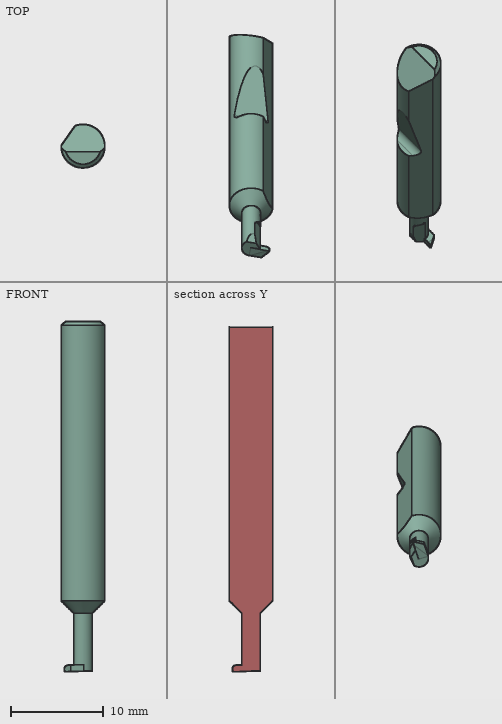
import cadquery as cq
import math

total_length = 38.1
shank_diameter = 4.75
shank_radius = shank_diameter / 2
neck_radius = 1.03
neck_bottom = 0.08
shank_bottom = 7.75
top_chamfer = 0.4
cutter_size = shank_diameter

shank_flat_angle = 145.0
shank_flat_distance = 1.98

slope_top_y = -0.6
slope_angle = 45.0

notch_top = 29.75
notch_bottom = 21.1
notch_depth = 1.4
notch_corner_radius = 0.75

neck_flat_angle = 140.0
neck_flat_distance = 0.8
neck_flat_top = 4.2
neck_flat_runout_radius = 1.05

relief_depth = 0.25
relief_height = 1.35

tooth_height = 0.75
tooth_rake_y = 0.08
tooth_root_x = 0.08
tooth_tip_x = -2.05
tooth_heel_x = -1.35
tooth_tip_top_radius = 0.5
tooth_tip_bottom_radius = 0.23
tooth_lowest_x = -1.68
tooth_bottom_rise = 0.08


def make_body():
    """Revolved shank, 45 degree shoulder and neck."""
    neck_top = shank_bottom - (shank_radius - neck_radius)
    return (
        cq.Workplane("XZ")
        .moveTo(0, neck_bottom)
        .lineTo(neck_radius, neck_bottom)
        .lineTo(neck_radius, neck_top)
        .lineTo(shank_radius, shank_bottom)
        .lineTo(shank_radius, total_length - top_chamfer)
        .lineTo(shank_radius - top_chamfer, total_length)
        .lineTo(0, total_length)
        .close()
        .revolve(360, (0, 0, 0), (0, 1, 0))
    )


def make_flat_cutter(angle, distance, bottom, top):
    """Block whose inner face is a flat facing the given angle about Z."""
    return (
        cq.Workplane("XY")
        .box(cutter_size, 2 * cutter_size, top - bottom, centered=(False, True, False))
        .translate((distance, 0, bottom))
        .rotate((0, 0, 0), (0, 0, 1), angle)
    )


def extrude_across(points):
    """Prism along X through the whole part from (Y, Z) points."""
    return cq.Workplane("YZ").polyline(points).close().extrude(cutter_size, both=True)


def make_top_slope_cutter():
    slope_drop = (cutter_size - slope_top_y) * math.tan(math.radians(slope_angle))
    return extrude_across([
        (slope_top_y, total_length),
        (cutter_size, total_length),
        (cutter_size, total_length - slope_drop),
    ])


def make_notch_cutter():
    """Wedge with a rounded inner corner at its lower, deepest end."""
    notch_floor_y = shank_radius - notch_depth
    return extrude_across([
        (shank_radius, notch_top),
        (notch_floor_y, notch_bottom),
        (cutter_size, notch_bottom),
        (cutter_size, notch_top),
    ]).edges("<Y").fillet(notch_corner_radius)


def make_neck_flat_cutter():
    """Flat from the neck end; its top corner on the +Y side is rounded within the flat."""
    flat_half_width = math.sqrt(neck_radius**2 - neck_flat_distance**2)
    return (
        cq.Workplane("XY")
        .box(cutter_size, 2 * flat_half_width, neck_flat_top, centered=(False, True, False))
        .edges("|X and >Z and <Y")
        .fillet(neck_flat_runout_radius)
        .translate((neck_flat_distance, 0, 0))
        .rotate((0, 0, 0), (0, 0, 1), neck_flat_angle)
    )


def make_end_relief_cutter():
    return extrude_across([
        (neck_radius, neck_bottom + relief_height),
        (neck_radius - relief_depth, neck_bottom),
        (cutter_size, neck_bottom),
        (cutter_size, neck_bottom + relief_height),
    ])


def make_tooth():
    """Tooth toward -X with a rounded tip, a slanted flank and a rising bottom."""
    tooth_middle_y = (tooth_rake_y - neck_radius) / 2
    tooth = (
        cq.Workplane("XZ", origin=(0, tooth_rake_y, 0))
        .polyline([
            (tooth_root_x, tooth_bottom_rise),
            (tooth_lowest_x, 0),
            (tooth_tip_x, 0),
            (tooth_tip_x, tooth_height),
            (tooth_root_x, tooth_height),
        ])
        .close()
        .extrude(tooth_rake_y + neck_radius)
        .edges(cq.selectors.NearestToPointSelector((tooth_tip_x, tooth_middle_y, tooth_height)))
        .fillet(tooth_tip_top_radius)
        .edges(cq.selectors.NearestToPointSelector((tooth_tip_x, tooth_middle_y, 0)))
        .fillet(tooth_tip_bottom_radius)
    )
    flank_relief = (
        cq.Workplane("XY")
        .polyline([
            (tooth_tip_x, tooth_rake_y),
            (tooth_heel_x, -neck_radius),
            (tooth_tip_x, -neck_radius),
        ])
        .close()
        .extrude(tooth_height)
    )
    bottom_relief = extrude_across([
        (tooth_rake_y, 0),
        (-neck_radius, tooth_bottom_rise),
        (-neck_radius, 0),
    ])
    return tooth.cut(flank_relief).cut(bottom_relief)


result = (
    make_body()
    .cut(make_flat_cutter(shank_flat_angle, shank_flat_distance, 0, total_length))
    .cut(make_top_slope_cutter())
    .cut(make_notch_cutter())
    .cut(make_neck_flat_cutter())
    .cut(make_end_relief_cutter())
    .union(make_tooth())
)